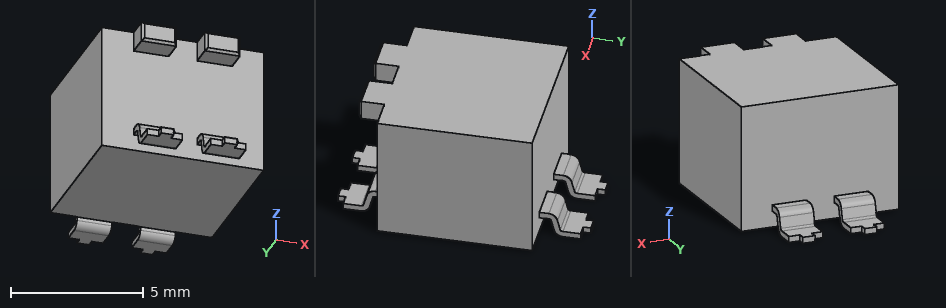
import cadquery as cq
import math


BODY_WIDTH = 6.48
BODY_DEPTH = 6.0
BODY_HEIGHT = 5.0

PITCH = 2.54
POSITIONS = 2

ACTUATOR_WIDTH = 1.4
ACTUATOR_HEIGHT = 0.8
ACTUATOR_LENGTH = 1.0
ACTUATOR_CHAMFER = 0.1

LEAD_WIDTH = 1.4
LEAD_THICKNESS = 0.25
LEAD_TIP_SPAN = 9.8
LEAD_TOP = 0.9
FOOT_BOTTOM = -0.1
SHOULDER_LENGTH = 0.36
INNER_BEND_RADIUS = 0.1
BEND_ANGLE = math.radians(75.5)
TIP_WIDTH = 0.5
TIP_LENGTH = 0.3

BODY_FACE = BODY_DEPTH / 2
LEAD_TIP = LEAD_TIP_SPAN / 2
POSITION_XS = [(i - (POSITIONS - 1) / 2) * PITCH for i in range(POSITIONS)]


def make_body():
    return cq.Workplane("XY").box(BODY_WIDTH, BODY_DEPTH, BODY_HEIGHT, centered=(True, True, False))


def make_actuator(x):
    """Rectangular lever with all four edges of its front face chamfered."""
    lever = cq.Workplane("XY").box(
        ACTUATOR_WIDTH, ACTUATOR_LENGTH, ACTUATOR_HEIGHT, centered=(True, False, False)
    )
    lever = lever.faces("<Y").chamfer(ACTUATOR_CHAMFER)
    return lever.translate((x, -BODY_FACE - ACTUATOR_LENGTH, BODY_HEIGHT - ACTUATOR_HEIGHT))


def lead_centreline():
    """Middle line of the +Y lead: shoulder, bend down, sloping leg, bend out, foot."""
    radius = INNER_BEND_RADIUS + LEAD_THICKNESS / 2
    bend_run = radius * math.sin(BEND_ANGLE)
    bend_drop = radius * (1 - math.cos(BEND_ANGLE))
    half_bend_run = radius * math.sin(BEND_ANGLE / 2)
    half_bend_drop = radius * (1 - math.cos(BEND_ANGLE / 2))

    shoulder_z = LEAD_TOP - LEAD_THICKNESS / 2
    foot_z = FOOT_BOTTOM + LEAD_THICKNESS / 2
    leg_drop = shoulder_z - foot_z - 2 * bend_drop
    leg_run = leg_drop / math.tan(BEND_ANGLE)

    shoulder_end = BODY_FACE + SHOULDER_LENGTH
    foot_start = shoulder_end + 2 * bend_run + leg_run
    return (
        cq.Workplane("YZ")
        .moveTo(BODY_FACE, shoulder_z)
        .lineTo(shoulder_end, shoulder_z)
        .threePointArc(
            (shoulder_end + half_bend_run, shoulder_z - half_bend_drop),
            (shoulder_end + bend_run, shoulder_z - bend_drop),
        )
        .lineTo(foot_start - bend_run, foot_z + bend_drop)
        .threePointArc(
            (foot_start - half_bend_run, foot_z + half_bend_drop),
            (foot_start, foot_z),
        )
        .lineTo(LEAD_TIP - TIP_LENGTH, foot_z)
    )


def make_lead():
    """Gull-wing lead on the +Y face, centred on X = 0, with a narrow tip on its foot."""
    strip = (
        cq.Workplane("XZ", origin=(0, BODY_FACE, LEAD_TOP - LEAD_THICKNESS / 2))
        .rect(LEAD_WIDTH, LEAD_THICKNESS)
        .sweep(lead_centreline())
    )
    tip = (
        cq.Workplane("XY")
        .box(TIP_WIDTH, TIP_LENGTH, LEAD_THICKNESS, centered=(True, False, False))
        .translate((0, LEAD_TIP - TIP_LENGTH, FOOT_BOTTOM))
    )
    return strip.union(tip)


back_lead = make_lead()
front_lead = back_lead.mirror("XZ")

result = make_body()
for position_x in POSITION_XS:
    result = result.union(make_actuator(position_x))
    for lead in (back_lead, front_lead):
        result = result.union(lead.translate((position_x, 0, 0)))